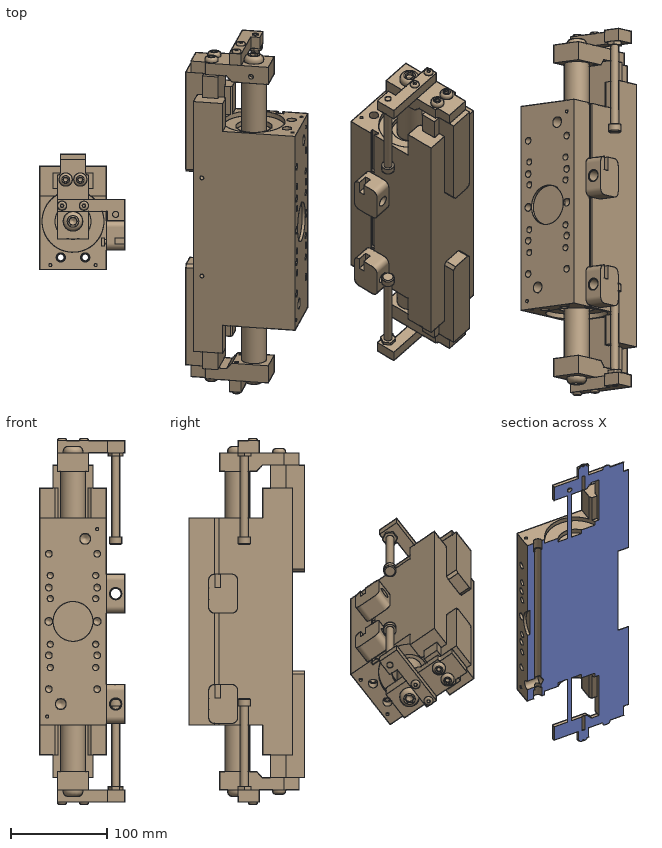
import math

import cadquery as cq


hex_sides = 6

overall_width = 88.72
overall_length = 380.4

body_width = 69.5
body_front_y = -50.24
body_back_y = 57.3
body_half_length = 107.6
arm_half_length = 138.5
arm_front_y = 26.3
arm_gap = 31.6

rod_dia = 26.16
bore_dia = 64.3
bore_depth = 5.0
gland_dia = 37.4
gland_depth = 5.0

rail_head_width = 41.8
rail_head_front_y = 34.2
rail_stem_width = 26.2
rail_stem_front_y = 50.4
rail_back_y = 69.75
rail_inner_z = 51.4
rail_corner = 3.2

bracket_width = 32.4
bracket_front_y = -18.3
bracket_back_y = 64.2
bracket_thin = 12.7
bracket_thick = 19.05
bracket_bottom_z = 156.0
bracket_top_z = bracket_bottom_z + bracket_thick
rail_outer_z = bracket_top_z - bracket_thin
bracket_ramp_y = (20.2, 26.0)
bracket_neck_width = 26.4
bracket_neck_y = 48.2
bracket_neck_fillet = 2.2
bracket_pin_dia = 5.0
bracket_pin_z = 163.3
bracket_pin_depth = 6.0

link_height = 12.7
link_top_z = bracket_top_z + link_height
link_right_x = overall_width - body_width / 2
link_side_inset = 0.1
link_left_x = link_side_inset - bracket_width / 2
link_back_y = 22.9
link_front_y = 10.4
link_pad_x = 35.8
link_pad_front_y = 0.8

adjuster_x = 44.3
adjuster_y = 7.2
adjuster_dia = 8.61
adjuster_hole_dia = 6.35
adjuster_hole_depth = 1.0
nut_corner_dia = 15.6
nut_height = 3.4
bumper_dia = 13.0
bumper_tip_z = 79.9
bumper_height = 8.0
bumper_chamfer = 1.2

rod_screw = (20.3, 12.0, 6.8, 7.94)
rail_screw = (13.74, 8.0, 4.6, 4.76)
link_screw = (9.5, 6.0, overall_length / 2 - link_top_z, 3.18)
shoulder_share = 0.12
socket_share = 0.5
socket_point_angle = 120.0
rail_screw_x = 7.6
rail_screw_y = 43.4
link_screw_x = 11.4
link_screw_y = 16.2
link_screw_hole_dia = 4.0

drill_point_angle = 118.0
tap_dia = 7.0
tap_depth = 12.0
tap_x = 25.1
tap_z = (35.2, 70.3)
small_tap_dia = 6.35
small_tap_x = 23.6
small_tap_z = (23.7, 47.8)
dowel_dia = 8.0
pilot_dia = 41.4
pilot_depth = 3.2
port_dia = 11.12
port_depth = 16.0
port_x = 12.7
port_z = 85.8
plug_dia = 3.17
plug_depth = 5.0
front_plugs = ((25.1, 95.9), (-26.8, -98.8))

passage_dia = 7.0
passage_mouth_dia = 9.5
passage_mouth_depth = 12.0
passage_y = -37.5
end_plug_x = 23.6
end_plug_y = -45.5
side_hole_dia = 4.0
side_hole_depth = 10.0
side_hole_y = 48.3
side_hole_z = 54.4

slot_y = -21.4
slot_mouth = 4.6
slot_head = 8.0
slot_head_x = 29.7
slot_lip_x = 32.6
stop_z = (28.85, -85.75)
stop_height = 40.6
stop_front_y = -29.9
stop_back_y = 0.4
stop_fillet = 6.6
stop_hole_dia = 11.12
stop_hole_chamfer = 0.8
stop_pocket_x = 43.6
stop_pocket_y = (-23.3, -17.4)
stop_pocket_depth = 14.0


def box(x0, x1, y0, y1, z0, z1):
    """Box between two opposite corners."""
    return cq.Workplane("XY").box(x1 - x0, y1 - y0, z1 - z0, centered=False).translate((x0, y0, z0))


def cylinder(diameter, z0, z1, x=0, y=0):
    """Upright cylinder between two heights."""
    return cq.Workplane("XY", origin=(x, y, z0)).circle(diameter / 2).extrude(z1 - z0)


def both_ends(shape):
    """The shape together with its mirror image at the other end of the part."""
    return shape.union(shape.mirror("XY"))


def front_hole(x, z, diameter, depth):
    """Drilled hole with a conical bottom, entering the front face."""
    radius = diameter / 2
    tip = radius / math.tan(math.radians(drill_point_angle / 2))
    drill = (
        cq.Workplane("XY")
        .polyline([(0, 0), (radius, 0), (radius, depth), (0, depth + tip)])
        .close()
        .revolve(360, (0, 0, 0), (0, 1, 0))
    )
    return drill.translate((x, body_front_y, z))


def make_body():
    half = body_width / 2
    body = box(-half, half, body_front_y, body_back_y, -body_half_length, body_half_length)
    body = body.union(box(-half, half, arm_front_y, body_back_y, -arm_half_length, arm_half_length))
    floor_z = body_half_length - bore_depth
    mouth = cylinder(bore_dia, floor_z, arm_half_length)
    mouth = mouth.union(cylinder(gland_dia, floor_z - gland_depth, floor_z))
    gap = box(-arm_gap / 2, arm_gap / 2, 0, rail_head_front_y, body_half_length, arm_half_length)
    return body.cut(both_ends(mouth.union(gap)))


def front_drillings():
    """Every drilled hole of the front face, as x, z, diameter and depth."""
    holes = [(x, z, plug_dia, plug_depth) for x, z in front_plugs]
    for side in (-1, 1):
        holes.append((side * tap_x, 0, dowel_dia, tap_depth))
        holes.append((side * port_x, side * port_z, port_dia, port_depth))
        for end in (-1, 1):
            for z in tap_z:
                holes.append((side * tap_x, end * z, tap_dia, tap_depth))
            for z in small_tap_z:
                holes.append((side * small_tap_x, end * z, small_tap_dia, tap_depth))
    return holes


def cut_front_holes(body):
    pilot = cq.Workplane("XZ", origin=(0, body_front_y, 0)).circle(pilot_dia / 2).extrude(-pilot_depth)
    body = body.cut(pilot)
    for x, z, diameter, depth in front_drillings():
        body = body.cut(front_hole(x, z, diameter, depth))
    return body


def cut_end_holes(body):
    for side in (-1, 1):
        passage_x = side * port_x
        body = body.cut(cylinder(passage_dia, -body_half_length, body_half_length, passage_x, passage_y))
        mouth_z = body_half_length - passage_mouth_depth
        plug_z = body_half_length - plug_depth
        mouth = cylinder(passage_mouth_dia, mouth_z, body_half_length, passage_x, passage_y)
        plug = cylinder(plug_dia, plug_z, body_half_length, side * end_plug_x, end_plug_y)
        body = body.cut(both_ends(mouth.union(plug)))
    return body


def cut_side_holes(body):
    start = cq.Workplane("YZ", origin=(-body_width / 2, side_hole_y, 0))
    start = start.pushPoints([(0, -side_hole_z), (0, side_hole_z)])
    return body.cut(start.circle(side_hole_dia / 2).extrude(side_hole_depth))


def slot_head_fill(z0, z1):
    """Solid filling the wide inner part of the T-slot between two heights."""
    half = slot_head / 2
    return box(slot_head_x, slot_lip_x, slot_y - half, slot_y + half, z0, z1)


def cut_t_slot(body):
    half = slot_mouth / 2
    mouth = box(slot_lip_x, body_width / 2, slot_y - half, slot_y + half, -body_half_length, body_half_length)
    return body.cut(mouth.union(slot_head_fill(-body_half_length, body_half_length)))


def make_rail():
    head = rail_head_width / 2
    stem = rail_stem_width / 2
    rail = box(-stem, stem, rail_stem_front_y, rail_back_y, rail_inner_z, rail_outer_z)
    rail = rail.faces("<Z").edges("|Y").chamfer(rail_corner)
    return rail.union(box(-head, head, rail_head_front_y, rail_stem_front_y, rail_inner_z, rail_outer_z))


def make_bracket():
    profile = [
        (bracket_front_y, bracket_bottom_z),
        (bracket_ramp_y[0], bracket_bottom_z),
        (bracket_ramp_y[1], rail_outer_z),
        (bracket_back_y, rail_outer_z),
        (bracket_back_y, bracket_top_z),
        (bracket_front_y, bracket_top_z),
    ]
    half = bracket_width / 2
    bracket = cq.Workplane("YZ", origin=(-half, 0, 0)).polyline(profile).close().extrude(bracket_width)
    neck = bracket_neck_width / 2
    tangent_y = bracket_neck_y + bracket_neck_fillet
    for side in (-1, 1):
        notch = (
            cq.Workplane("XY", origin=(0, 0, rail_outer_z))
            .moveTo(side * half, bracket_neck_y)
            .lineTo(side * (neck + bracket_neck_fillet), bracket_neck_y)
            .radiusArc((side * neck, tangent_y), side * bracket_neck_fillet)
            .lineTo(side * neck, bracket_back_y)
            .lineTo(side * half, bracket_back_y)
            .close()
            .extrude(bracket_thin)
        )
        bracket = bracket.cut(notch)
        bracket = bracket.cut(
            cylinder(link_screw_hole_dia, bracket_bottom_z, bracket_top_z, side * link_screw_x, link_screw_y)
        )
    return bracket


def bracket_pin_hole():
    """Pin hole in the side of the upper bracket only."""
    start = cq.Workplane("YZ", origin=(-bracket_width / 2, 0, bracket_pin_z))
    return start.circle(bracket_pin_dia / 2).extrude(bracket_pin_depth)


def make_link():
    arm = box(link_left_x, link_right_x, link_front_y, link_back_y, bracket_top_z, link_top_z)
    pad = box(link_pad_x, link_right_x, link_pad_front_y, link_back_y, bracket_top_z, link_top_z)
    hole = cylinder(adjuster_hole_dia, link_top_z - adjuster_hole_depth, link_top_z, adjuster_x, adjuster_y)
    return arm.union(pad).cut(hole)


def make_adjuster():
    shank = cylinder(adjuster_dia, bumper_tip_z, bracket_top_z, adjuster_x, adjuster_y)
    bumper = cylinder(bumper_dia, bumper_tip_z, bumper_tip_z + bumper_height, adjuster_x, adjuster_y)
    bumper = bumper.faces("<Z").chamfer(bumper_chamfer)
    nut_start = cq.Workplane("XY", origin=(adjuster_x, adjuster_y, bracket_top_z - nut_height))
    return shank.union(bumper).union(nut_start.polygon(hex_sides, nut_corner_dia).extrude(nut_height))


def button_screw(size, x, y, z):
    """Domed screw head with a hexagon socket, standing on height z."""
    head_dia, flat_dia, height, across_flats = size
    rise = (head_dia - flat_dia) / 2
    shoulder = shoulder_share * height
    dome = height - shoulder
    bulge = math.sin(math.radians(45))
    middle = (flat_dia / 2 + rise * bulge, shoulder + dome * bulge)
    head = (
        cq.Workplane("XZ")
        .lineTo(head_dia / 2, 0)
        .lineTo(head_dia / 2, shoulder)
        .threePointArc(middle, (flat_dia / 2, height))
        .lineTo(0, height)
        .close()
        .revolve(360, (0, 0, 0), (0, 1, 0))
    )
    corners = across_flats / math.cos(math.pi / hex_sides)
    depth = socket_share * height
    socket = cq.Workplane("XY", origin=(0, 0, height - depth)).polygon(hex_sides, corners).extrude(depth)
    point_height = across_flats / 2 / math.tan(math.radians(socket_point_angle / 2))
    point = cq.Solid.makeCone(
        0, across_flats / 2, point_height, cq.Vector(0, 0, height - depth - point_height)
    )
    return head.cut(socket).cut(cq.Workplane(point)).translate((x, y, z))


def make_screws():
    screws = button_screw(rod_screw, 0, 0, bracket_top_z)
    for side in (-1, 1):
        screws = screws.union(button_screw(rail_screw, side * rail_screw_x, rail_screw_y, bracket_top_z))
        screws = screws.union(button_screw(link_screw, side * link_screw_x, link_screw_y, link_top_z))
    return screws


def make_end():
    """Everything that moves at the upper end: rod, rail, bracket, stop arm and screws."""
    rod = cylinder(rod_dia, body_half_length - bore_depth - gland_depth, bracket_bottom_z)
    end = rod.union(make_rail()).union(make_bracket()).union(make_link())
    return end.union(make_adjuster()).union(make_screws())


def make_stop(z):
    """Stop block on the side of the body, with the screw and nut that hold it in the T-slot."""
    low = z - stop_height / 2
    high = z + stop_height / 2
    stop = box(body_width / 2, link_right_x, stop_front_y, stop_back_y, low, high)
    stop = stop.edges("|X").fillet(stop_fillet)
    pocket = box(stop_pocket_x, link_right_x, *stop_pocket_y, high - stop_pocket_depth, high)
    hole = cq.Workplane("XZ", origin=(adjuster_x, stop_back_y, z)).circle(stop_hole_dia / 2)
    stop = stop.cut(pocket).cut(hole.extrude(stop_back_y - stop_front_y))
    sink = cq.Solid.makeCone(
        stop_hole_dia / 2 + stop_hole_chamfer,
        stop_hole_dia / 2,
        stop_hole_chamfer,
        cq.Vector(adjuster_x, stop_front_y, z),
        cq.Vector(0, 1, 0),
    )
    screw = cq.Workplane("YZ", origin=(slot_lip_x, slot_y, z)).circle(slot_mouth / 2)
    screw = screw.extrude(body_width / 2 - slot_lip_x)
    return stop.cut(cq.Workplane(sink)).union(screw).union(slot_head_fill(low, high))


body = cut_side_holes(cut_end_holes(cut_front_holes(make_body())))
body = cut_t_slot(body)
result = body.union(both_ends(make_end())).cut(bracket_pin_hole())
for stop_centre in stop_z:
    result = result.union(make_stop(stop_centre))